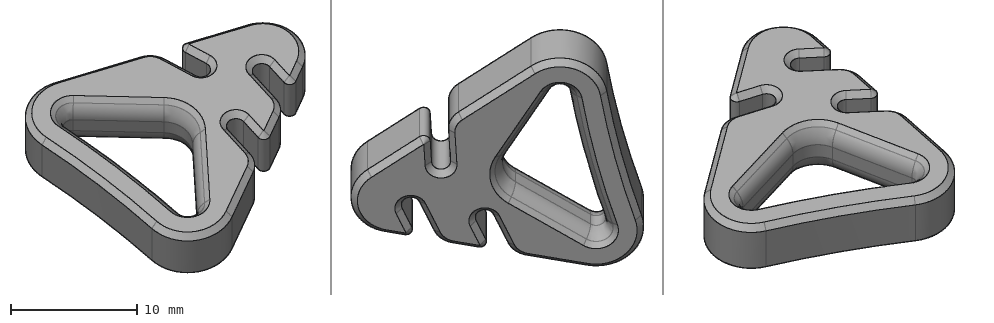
import cadquery as cq
import math

THICKNESS = 5.0
EDGE_CHAMFER = 0.5
LENGTH = 22.1
WIDTH = 20.22
HALF_LENGTH = LENGTH / 2
HALF_WIDTH = WIDTH / 2

NOSE_RADIUS = 3.34
CORNER_RADIUS = 3.75
BASE_ARC_RADIUS = 83.98
NOSE_Y = HALF_LENGTH - NOSE_RADIUS
CORNER_X = HALF_WIDTH - CORNER_RADIUS
CORNER_Y = CORNER_RADIUS - HALF_LENGTH

RIM_WIDTH = 2.0
WINDOW_BEVEL = 1.0
WINDOW_BEVEL_ROUND = 2.0
WINDOW_INSET = RIM_WIDTH + WINDOW_BEVEL
WINDOW_TOP_Y = -3.58
WINDOW_TOP_RADIUS = 2.36
SLAB_SIZE = 1.5 * LENGTH
SELECT_MARGIN = 0.02

SLOT_RADIUS = 0.75
SLOT_SLOPE_DEGREES = 10
SLOT_SLOPE = math.radians(SLOT_SLOPE_DEGREES)
SLOT_REACH = 13.25
TIP_RADIUS = 0.53
SHOULDER_RADIUS = 2.0
SLOTS = [
    (1.04, 6.52, 1),
    (2.5, 3.25, -1),
    (3.51, 1.08, 1),
]


def side_normal(top_y, top_radius, corner_radius):
    """Angle of the outward normal of the line touching the top arc and the right corner arc."""
    drop = top_y - CORNER_Y
    span = math.hypot(CORNER_X, drop)
    return math.atan2(CORNER_X, drop) + math.asin((corner_radius - top_radius) / span)


def rounded_triangle(top_y, top_radius, inset):
    """Plate with a round top, straight sides, round corners and an arched base."""
    corner_radius = CORNER_RADIUS - inset
    base_radius = BASE_ARC_RADIUS + inset
    normal = side_normal(top_y, top_radius, corner_radius)
    nx, ny = math.cos(normal), math.sin(normal)
    base_center_y = CORNER_Y - math.sqrt((base_radius + corner_radius) ** 2 - CORNER_X ** 2)
    base_tilt = math.asin(CORNER_X / (base_radius + corner_radius))
    base_x = base_radius * math.sin(base_tilt)
    base_y = base_center_y + base_radius * math.cos(base_tilt)
    corner_middle = (normal - math.pi / 2 - base_tilt) / 2
    bulge_x = CORNER_X + corner_radius * math.cos(corner_middle)
    bulge_y = CORNER_Y + corner_radius * math.sin(corner_middle)
    top_end = (top_radius * nx, top_y + top_radius * ny)
    side_end = (CORNER_X + corner_radius * nx, CORNER_Y + corner_radius * ny)
    return (
        cq.Workplane("XY")
        .workplane(offset=-THICKNESS / 2)
        .moveTo(-top_end[0], top_end[1])
        .threePointArc((0, top_y + top_radius), top_end)
        .lineTo(*side_end)
        .threePointArc((bulge_x, bulge_y), (base_x, base_y))
        .threePointArc((0, base_center_y + base_radius), (-base_x, base_y))
        .threePointArc((-bulge_x, bulge_y), (-side_end[0], side_end[1]))
        .close()
        .extrude(THICKNESS)
    )


def slot_mouth(end_x, end_y, wall):
    """Point where the upper (wall = 1) or lower (wall = -1) slot wall meets the right side."""
    normal = side_normal(NOSE_Y, NOSE_RADIUS, CORNER_RADIUS)
    nx, ny = math.cos(normal), math.sin(normal)
    along_x, along_y = math.cos(SLOT_SLOPE), -math.sin(SLOT_SLOPE)
    start_x = end_x - wall * SLOT_RADIUS * along_y
    start_y = end_y + wall * SLOT_RADIUS * along_x
    gap = NOSE_RADIUS - (start_x * nx + (start_y - NOSE_Y) * ny)
    run = gap / (along_x * nx + along_y * ny)
    return start_x + run * along_x, start_y + run * along_y


def cut_hook_slot(body, end_x, end_y, side):
    """Cut one slot, then round the hook tip above it and the shoulder below it."""
    slot = (
        cq.Workplane("XY")
        .center(SLOT_REACH / 2, 0)
        .slot2D(SLOT_REACH + 2 * SLOT_RADIUS, 2 * SLOT_RADIUS)
        .extrude(THICKNESS, both=True)
        .rotate((0, 0, 0), (0, 0, 1), -SLOT_SLOPE_DEGREES)
        .translate((end_x, end_y, 0))
    )
    if side < 0:
        slot = slot.mirror("YZ")
    body = body.cut(slot)
    for wall, radius in ((1, TIP_RADIUS), (-1, SHOULDER_RADIUS)):
        x, y = slot_mouth(end_x, end_y, wall)
        mouth_edge = cq.selectors.NearestToPointSelector((side * x, y, 0))
        body = body.edges("|Z").edges(mouth_edge).fillet(radius)
    return body


def window_edges(z):
    """Selector for the window edges at height z, leaving out the slab's own border."""
    return cq.selectors.BoxSelector(
        (-HALF_WIDTH, -HALF_LENGTH, z - SELECT_MARGIN),
        (HALF_WIDTH, HALF_LENGTH, z + SELECT_MARGIN),
        boundingbox=True,
    )


def windowed_slab():
    """Oversized slab with the window, bevelled at both faces and blended into the wall."""
    slab = cq.Workplane("XY").box(SLAB_SIZE, SLAB_SIZE, THICKNESS)
    slab = slab.cut(rounded_triangle(WINDOW_TOP_Y, WINDOW_TOP_RADIUS, WINDOW_INSET))
    face_z = THICKNESS / 2
    bevel_end_z = face_z - WINDOW_BEVEL
    for z in (face_z, -face_z):
        slab = slab.edges(window_edges(z)).chamfer(WINDOW_BEVEL)
    for z in (bevel_end_z, -bevel_end_z):
        slab = slab.edges(window_edges(z)).fillet(WINDOW_BEVEL_ROUND)
    return slab


body = rounded_triangle(NOSE_Y, NOSE_RADIUS, 0)
for end_x, end_y, side in SLOTS:
    body = cut_hook_slot(body, end_x, end_y, side)
body = body.faces("<Z or >Z").chamfer(EDGE_CHAMFER)
result = body.intersect(windowed_slab())